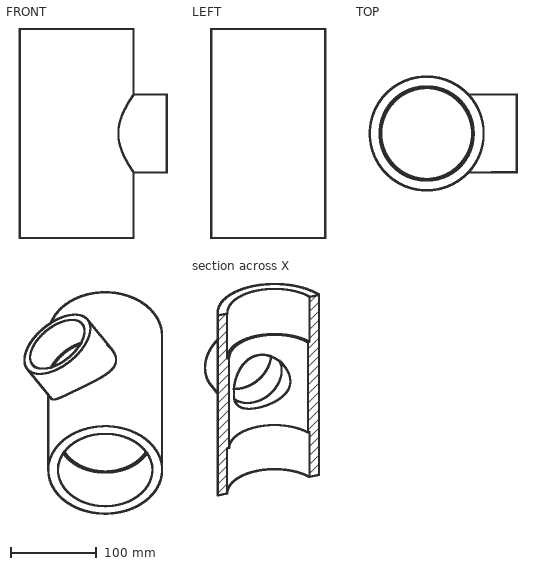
import cadquery as cq

body_diameter = 133.0
body_height = 244.0
body_bore_diameter = 106.0
body_socket_diameter = 110.0
body_socket_depth = 61.0

branch_diameter = 91.0
branch_bore_diameter = 71.0
branch_socket_diameter = 75.0
overall_length = 171.5
branch_end = overall_length - body_diameter / 2
branch_socket_depth = branch_end - body_diameter / 2


def body_cylinder(diameter, bottom, height):
    """Cylinder on the main pipe axis."""
    return cq.Workplane("XY").workplane(offset=bottom).circle(diameter / 2).extrude(height)


def branch_cylinder(diameter, start, length):
    """Cylinder on the branch axis."""
    return cq.Workplane("YZ").workplane(offset=start).circle(diameter / 2).extrude(length)


outer = body_cylinder(body_diameter, -body_height / 2, body_height)
outer = outer.union(branch_cylinder(branch_diameter, 0, branch_end))

result = outer.cut(body_cylinder(body_bore_diameter, -body_height / 2, body_height))
result = result.cut(branch_cylinder(branch_bore_diameter, 0, branch_end))

for socket_bottom in (-body_height / 2, body_height / 2 - body_socket_depth):
    result = result.cut(body_cylinder(body_socket_diameter, socket_bottom, body_socket_depth))
branch_socket_start = branch_end - branch_socket_depth
result = result.cut(branch_cylinder(branch_socket_diameter, branch_socket_start, branch_socket_depth))